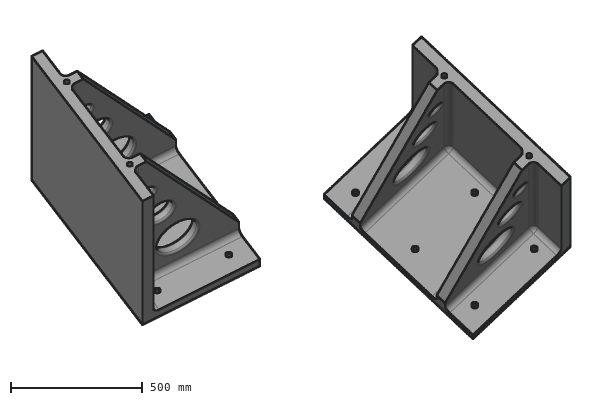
import cadquery as cq
import math

WIDTH = 800.0
DEPTH = 525.0
HEIGHT = 800.0
WALL_THICKNESS = 50.0
BASE_THICKNESS = 45.0
CORNER_RADIUS = 25.0

RIB_THICKNESS = 45.0
RIB_SPACING = 455.0
RIB_TOP_DEPTH = 110.0
RIB_BACK_HEIGHT = 107.0
rib_centers = [(WIDTH - RIB_SPACING) / 2, (WIDTH + RIB_SPACING) / 2]

LIGHTENING_HOLES = [(250.0, 210.0, 180.0), (175.0, 422.0, 115.0), (118.0, 586.0, 65.0)]
LIGHTENING_EDGE_RADIUS = 10.0

MOUNT_DIAMETER = 18.0
MOUNT_MOUTH_DIAMETER = 26.0
COUNTERSINK_ANGLE = 90.0
MOUNT_SPACING = 320.0
MOUNT_FRONT_Y = 115.0

TOP_HOLE_DIAMETER = 21.0
TOP_HOLE_DEPTH = 48.0
TOP_HOLE_Y = 50.0
DRILL_POINT_ANGLE = 118.0


def make_plates():
    """L-shaped body of wall and base."""
    wall = cq.Workplane("XY").box(WIDTH, WALL_THICKNESS, HEIGHT, centered=False)
    base = cq.Workplane("XY").box(WIDTH, DEPTH, BASE_THICKNESS, centered=False)
    return wall.union(base)


def make_rib(center_x):
    """Sloped rib joining wall and base."""
    return (
        cq.Workplane("YZ", origin=(center_x - RIB_THICKNESS / 2, 0, 0))
        .polyline([
            (0, 0),
            (DEPTH, 0),
            (DEPTH, RIB_BACK_HEIGHT),
            (RIB_TOP_DEPTH, HEIGHT),
            (0, HEIGHT),
        ])
        .close()
        .extrude(RIB_THICKNESS)
    )


def round_inner_corners(body):
    """Fillet every edge where wall, base and ribs meet."""
    tolerance = 0.1
    inner_edges = cq.selectors.BoxSelector(
        (-tolerance, WALL_THICKNESS - tolerance, BASE_THICKNESS - tolerance),
        (WIDTH + tolerance, WALL_THICKNESS + tolerance, BASE_THICKNESS + tolerance),
    )
    for center_x in rib_centers:
        for side in (-1, 1):
            x = center_x + side * RIB_THICKNESS / 2
            inner_edges += cq.selectors.BoxSelector(
                (x - tolerance, WALL_THICKNESS - tolerance, BASE_THICKNESS),
                (x + tolerance, WALL_THICKNESS + tolerance, HEIGHT),
            )
            inner_edges += cq.selectors.BoxSelector(
                (x - tolerance, WALL_THICKNESS, BASE_THICKNESS - tolerance),
                (x + tolerance, DEPTH, BASE_THICKNESS + tolerance),
            )
    return body.edges(inner_edges).fillet(CORNER_RADIUS)


def lightening_cutter(center_x, y, z, diameter):
    """Bore through one rib, flared by a rounded edge at both faces."""
    radius = diameter / 2
    half = RIB_THICKNESS / 2
    mouth = radius + LIGHTENING_EDGE_RADIUS
    straight = half - LIGHTENING_EDGE_RADIUS
    arc_offset = LIGHTENING_EDGE_RADIUS * math.sqrt(0.5)
    return (
        cq.Workplane("XY")
        .moveTo(-half, 0)
        .lineTo(-half, mouth)
        .threePointArc((-straight - arc_offset, mouth - arc_offset), (-straight, radius))
        .lineTo(straight, radius)
        .threePointArc((straight + arc_offset, mouth - arc_offset), (half, mouth))
        .lineTo(half, 0)
        .close()
        .revolve(360, (0, 0, 0), (1, 0, 0))
        .translate((center_x, y, z))
    )


def cut_mounting_holes(body):
    """Three columns and two rows of countersunk holes in the base."""
    points = [
        (WIDTH / 2 + column * MOUNT_SPACING, MOUNT_FRONT_Y + row * MOUNT_SPACING)
        for column in (-1, 0, 1)
        for row in (0, 1)
    ]
    return (
        body.copyWorkplane(cq.Workplane("XY", origin=(0, 0, BASE_THICKNESS)))
        .pushPoints(points)
        .cskHole(MOUNT_DIAMETER, MOUNT_MOUTH_DIAMETER, COUNTERSINK_ANGLE)
    )


def top_hole_cutter(center_x):
    """Blind hole with a conical drill point."""
    radius = TOP_HOLE_DIAMETER / 2
    point_length = radius / math.tan(math.radians(DRILL_POINT_ANGLE / 2))
    return (
        cq.Workplane("XZ")
        .polyline([
            (0, 0),
            (radius, 0),
            (radius, -TOP_HOLE_DEPTH),
            (0, -TOP_HOLE_DEPTH - point_length),
        ])
        .close()
        .revolve(360, (0, 0, 0), (0, 1, 0))
        .translate((center_x, TOP_HOLE_Y, HEIGHT))
    )


body = make_plates()
for rib_x in rib_centers:
    body = body.union(make_rib(rib_x))
body = round_inner_corners(body)
for rib_x in rib_centers:
    for hole_y, hole_z, hole_diameter in LIGHTENING_HOLES:
        body = body.cut(lightening_cutter(rib_x, hole_y, hole_z, hole_diameter))
    body = body.cut(top_hole_cutter(rib_x))
result = cut_mounting_holes(body)